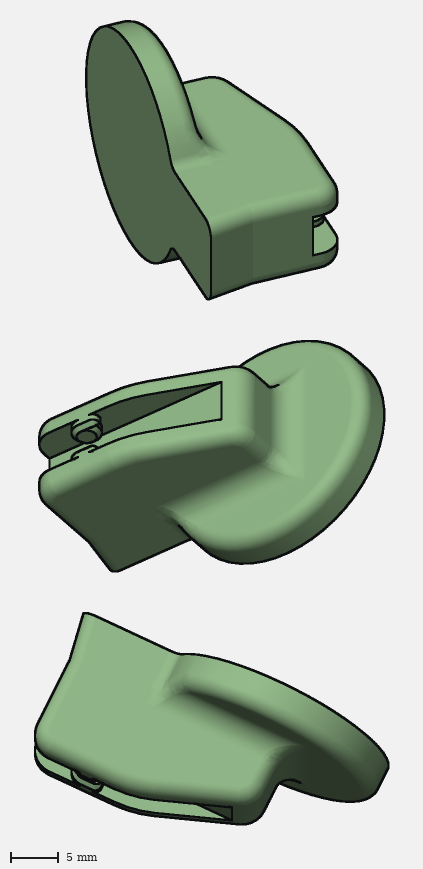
import cadquery as cq
import math

length = 35.43
disc_diameter = 25.4
disc_radius = disc_diameter / 2
disc_thickness = 3.83
handle_height = 15.38
handle_width = 10.17

handle_left = -2.7
handle_foot = length - disc_radius
handle_right = 21.82
foot_height = 5.15
ramp_angle = 20.0
ramp_end = 9.45
ramp_start_height = handle_height - (ramp_end - handle_left) * math.tan(math.radians(ramp_angle))
corner_radius = 2.55
ramp_radius = 12.75

edge_radius = 1.52
blend_radius = 2.55

slot_width = 4.95
slot_depth = 3.55
boss_diameter = 3.2
boss_reach = 1.25
boss_chamfer = 0.53
boss_x = (ramp_end + handle_right) / 2
boss_y = handle_height - boss_diameter / 2
nose_length = 2.13
nose_height = 1.15
nose_radius = 0.7

tolerance = 0.005


def make_disc():
    """Round plate, extending from Y = 0 to its full thickness."""
    return cq.Workplane("XZ").circle(disc_radius).extrude(-disc_thickness)


def make_profile():
    """Handle side profile with rounded corners and plain side edges."""
    outline = [
        (handle_left, 0),
        (handle_foot, 0),
        (handle_right, foot_height),
        (handle_right, handle_height),
        (ramp_end, handle_height),
        (handle_left, ramp_start_height),
    ]
    profile = cq.Workplane("XY").polyline(outline).close().extrude(handle_width / 2, both=True)
    corners = (
        (handle_right, handle_height, corner_radius),
        (handle_left, ramp_start_height, corner_radius),
        (ramp_end, handle_height, ramp_radius),
    )
    for x, y, radius in corners:
        profile = profile.edges(cq.selectors.NearestToPointSelector((x, y, 0))).fillet(radius)
    return profile


def make_boss():
    """Tapered snap boss on the +Z slot wall, with a round-cornered nose along the handle top."""
    boss_tip = slot_width / 2 - boss_reach
    boss = (
        cq.Workplane("XY", origin=(boss_x, boss_y, boss_tip))
        .circle(boss_diameter / 2)
        .extrude(boss_reach)
        .faces("<Z")
        .chamfer(boss_chamfer)
    )
    nose = (
        cq.Workplane("XY", origin=(boss_x - nose_length, handle_height - nose_height, boss_tip))
        .box(nose_length, nose_height, boss_reach, centered=False)
        .edges("|Z and <X and >Y")
        .fillet(nose_radius)
        .faces("<Z")
        .edges(">Y")
        .chamfer(boss_chamfer)
    )
    underside_bevel = (
        cq.Workplane("YZ", origin=(boss_x - nose_length, handle_height - nose_height, boss_tip))
        .polyline([(0, 0), (boss_chamfer, 0), (0, boss_chamfer)])
        .close()
        .extrude(nose_length)
    )
    return boss.union(nose.cut(underside_bevel))


def is_junction(edge):
    """True for an edge of the disc face that lies inside the rim, where the handle stands."""
    middle = edge.positionAt(0.5)
    on_face = abs(edge.Center().y - disc_thickness) < tolerance
    return on_face and math.hypot(middle.x, middle.z) < disc_radius - tolerance


def is_sharp(edge):
    """True unless the edge is a straight, smooth border of the blend along the handle sides."""
    box = edge.BoundingBox()
    level = box.ymax - box.ymin < tolerance
    straight = edge.geomType() == "LINE"
    return not (level and straight and box.ymax < disc_thickness + blend_radius + tolerance)


body = make_disc().union(make_profile())
body = body.edges().filter(is_junction).fillet(blend_radius)

body = body.edges("not (|Z or <Y)").filter(is_sharp).fillet(edge_radius)

slot = cq.Workplane("XY").box(2 * length, 2 * slot_depth, slot_width).translate((0, handle_height, 0))
boss = make_boss()
result = body.cut(slot).union(boss).union(boss.mirror("XY"))